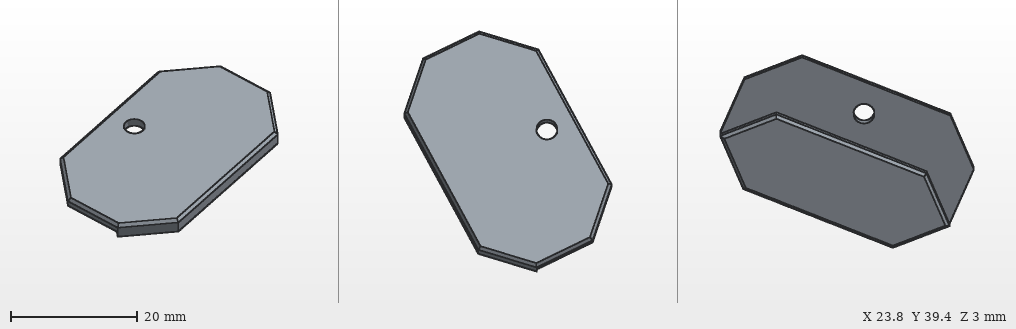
import cadquery as cq

width = 23.8
length = 39.43
thickness = 3.0
layer_height = thickness / 2
edge_chamfer = 0.5

left_cut = 6.98
right_cut = 6.85

pad_width = 13.7

hole_diameter = 3.3
hole_x = -6.9

right_x = width / 2
end_y = length / 2
right_corner_x = right_x - right_cut
right_corner_y = end_y - right_cut


def make_plate():
    """Eight-sided plate with its upper rim chamfered."""
    left_x = -width / 2
    left_corner_x = left_x + left_cut
    left_corner_y = end_y - left_cut
    outline = [
        (left_corner_x, -end_y),
        (right_corner_x, -end_y),
        (right_x, -right_corner_y),
        (right_x, right_corner_y),
        (right_corner_x, end_y),
        (left_corner_x, end_y),
        (left_x, left_corner_y),
        (left_x, -left_corner_y),
    ]
    plate = cq.Workplane("XY").polyline(outline).close().extrude(layer_height)
    return plate.faces(">Z").chamfer(edge_chamfer)


def make_pad():
    """Six-sided pad below the plate, pointed at both ends, lower rim chamfered."""
    pad_left_x = right_x - pad_width
    pad_corner_y = end_y - (right_corner_x - pad_left_x)
    outline = [
        (right_corner_x, -end_y),
        (right_x, -right_corner_y),
        (right_x, right_corner_y),
        (right_corner_x, end_y),
        (pad_left_x, pad_corner_y),
        (pad_left_x, -pad_corner_y),
    ]
    pad = cq.Workplane("XY").polyline(outline).close().extrude(-layer_height)
    return pad.faces("<Z").chamfer(edge_chamfer)


def make_hole():
    """Round through hole in the thin part of the plate."""
    return cq.Workplane("XY").center(hole_x, 0).circle(hole_diameter / 2).extrude(layer_height)


result = make_plate().union(make_pad()).cut(make_hole())